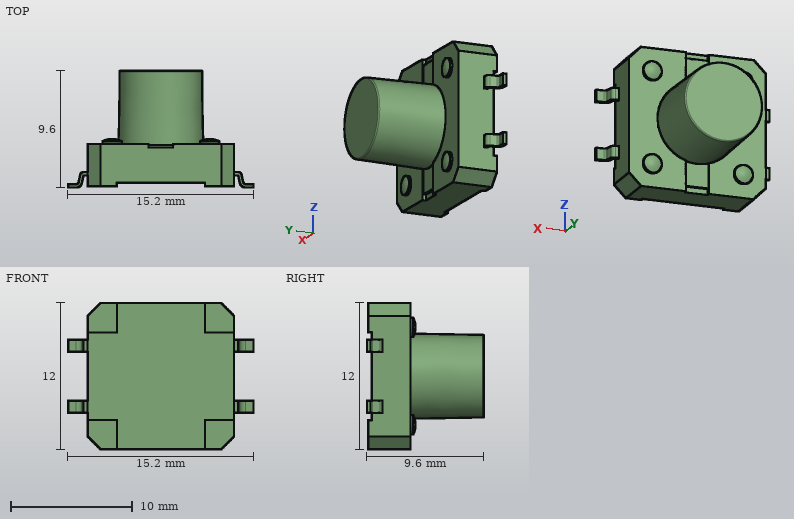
import cadquery as cq
import math


body_size = 12.0
corner_chamfer = 1.05
standoff = 0.1
foot_height = 0.3
foot_size = 2.4
slab_thickness = 3.2
half_body = body_size / 2
underside_y = standoff + foot_height
top_y = underside_y + slab_thickness

rivet_offset = 4.0
rivet_radius = 0.8
rivet_rim_height = 0.2
rivet_dome_height = 0.2

button_height = 6.0
button_base_radius = 3.5
button_draft = 1.0
button_edge_radius = 0.1
seat_depth = 0.1

notch_width = 2.0
notch_depth = 0.3
notch_step_length = 0.5

lead_width = 1.0
lead_thickness = 0.3
lead_reach = 1.6
lead_height = 1.3
lead_pad_length = 0.65
lead_slope = math.radians(12.0)
lead_inner_bend = 0.2
lead_offset = 2.5


def box_between(x_range, y_range, z_range):
    """Box that spans the given (low, high) range on each axis."""
    ranges = (x_range, y_range, z_range)
    sizes = [high - low for low, high in ranges]
    lows = tuple(low for low, high in ranges)
    return cq.Workplane("XY").box(*sizes, centered=False).translate(lows)


def make_button():
    """Drafted round button with a softened tip, revolved about the Y axis."""
    seat_y = top_y - seat_depth
    tip_y = top_y + button_height
    tip_radius = button_base_radius - (tip_y - seat_y) * math.tan(math.radians(button_draft))
    profile = (
        cq.Workplane("ZY")
        .moveTo(0, seat_y)
        .lineTo(button_base_radius, seat_y)
        .lineTo(tip_radius, tip_y)
        .lineTo(0, tip_y)
        .close()
    )
    button = profile.revolve(360, (0, 0, 0), (0, 1, 0))
    return button.faces(">Y").edges().fillet(button_edge_radius)


def make_rivet_head():
    """Short cylinder under a shallow dome, centred on the Y axis."""
    rim_y = top_y + rivet_rim_height
    crown_y = rim_y + rivet_dome_height
    dome_radius = (rivet_radius**2 + rivet_dome_height**2) / (2 * rivet_dome_height)
    half_angle = math.asin(rivet_radius / dome_radius) / 2
    dome_middle = (
        dome_radius * math.sin(half_angle),
        crown_y - dome_radius * (1 - math.cos(half_angle)),
    )
    profile = (
        cq.Workplane("ZY")
        .moveTo(0, top_y)
        .lineTo(rivet_radius, top_y)
        .lineTo(rivet_radius, rim_y)
        .threePointArc(dome_middle, (0, crown_y))
        .close()
    )
    return profile.revolve(360, (0, 0, 0), (0, 1, 0))


def make_housing(button):
    """Chamfered square block with corner feet, notches, a button seat and rivet heads."""
    block = box_between((-half_body, half_body), (standoff, top_y), (-half_body, half_body))
    block = block.edges("|Y").chamfer(corner_chamfer)

    half_relief = half_body - foot_size
    relief_y = (standoff, underside_y)
    block = block.cut(box_between((-half_relief, half_relief), relief_y, (-half_body, half_body)))
    block = block.cut(box_between((-half_body, half_body), relief_y, (-half_relief, half_relief)))

    notch_x = (-notch_width / 2, notch_width / 2)
    block = block.cut(box_between(notch_x, (top_y - seat_depth, top_y), (-half_body, half_body)))
    deep_step = box_between(
        notch_x, (top_y - notch_depth, top_y), (half_body - notch_step_length, half_body)
    )
    block = block.cut(deep_step).cut(deep_step.mirror("XY"))

    block = block.cut(button)

    rivet_head = make_rivet_head()
    for x in (-rivet_offset, rivet_offset):
        for z in (-rivet_offset, rivet_offset):
            block = block.union(rivet_head.translate((x, 0, z)))
    return block


def make_right_lead(z):
    """Gull-wing lead on the +X side, centred at height z."""
    outer_bend = lead_inner_bend + lead_thickness
    shoulder_y = lead_height - lead_thickness
    tip_x = half_body + lead_reach
    sin_slope = math.sin(lead_slope)
    cos_slope = math.cos(lead_slope)

    bend_x = tip_x - lead_pad_length
    bend_y = outer_bend
    corner_x = bend_x - (outer_bend + (shoulder_y - bend_y) * sin_slope) / cos_slope

    def lower_bend_point(radius, angle):
        """Point on the bend above the pad; angle is measured down from -X."""
        return (bend_x - radius * math.cos(angle), bend_y - radius * math.sin(angle))

    def upper_bend_point(angle):
        """Point on the outer side of the shoulder bend; angle is measured up from +X."""
        return (
            corner_x + lead_thickness * math.cos(angle),
            shoulder_y + lead_thickness * math.sin(angle),
        )

    quarter_turn = math.pi / 2
    bend_middle = (lead_slope + quarter_turn) / 2
    profile = (
        cq.Workplane("XY")
        .moveTo(half_body, shoulder_y)
        .lineTo(corner_x, shoulder_y)
        .lineTo(*lower_bend_point(outer_bend, lead_slope))
        .threePointArc(lower_bend_point(outer_bend, bend_middle), (bend_x, 0))
        .lineTo(tip_x, 0)
        .lineTo(tip_x, lead_thickness)
        .lineTo(bend_x, lead_thickness)
        .threePointArc(
            lower_bend_point(lead_inner_bend, bend_middle),
            lower_bend_point(lead_inner_bend, lead_slope),
        )
        .lineTo(*upper_bend_point(lead_slope))
        .threePointArc(upper_bend_point(bend_middle), (corner_x, lead_height))
        .lineTo(half_body, lead_height)
        .close()
    )
    return profile.extrude(lead_width / 2, both=True).translate((0, 0, z))


button = make_button()
housing = make_housing(button)

leads = []
for z in (-lead_offset, lead_offset):
    right_lead = make_right_lead(z)
    leads.append(right_lead)
    leads.append(right_lead.mirror("YZ"))

result = cq.Compound.makeCompound(
    [housing.val(), button.val(), *[lead.val() for lead in leads]]
)